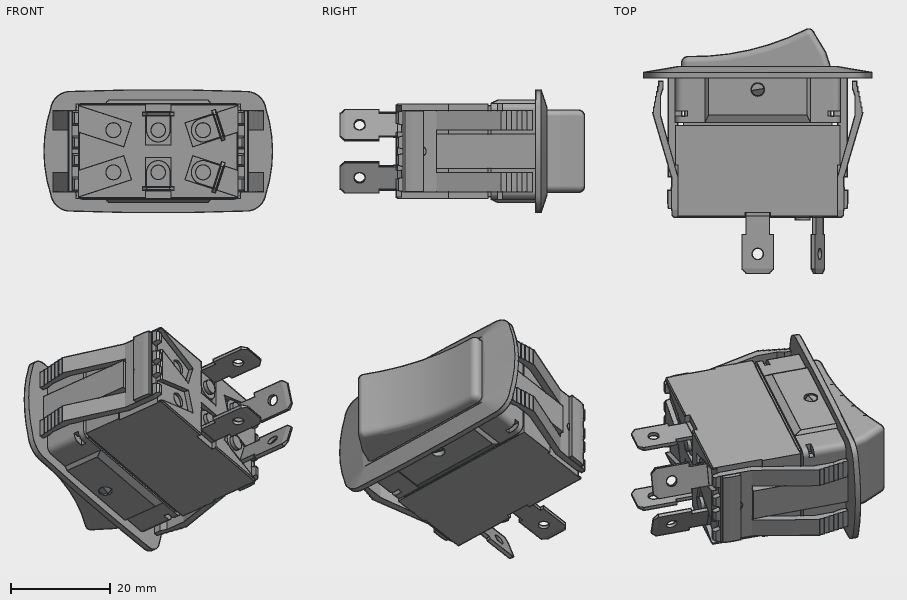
import cadquery as cq

BEZEL_HALF_X = 23.0
BEZEL_HALF_Z = 12.385
BEZEL_RIM = 1.15
BEZEL_DOME = 2.3
DOME_INSET_X = 6.9
DOME_INSET_Z = 3.6
DOME_CORNER_SCALE = 0.2

BEZEL_CORNER_X = 5.4
BEZEL_CORNER_Z = 3.7
BEZEL_BOW_X = 1.4
BEZEL_BOW_Z = 0.35
BEZEL_MID_X = 2.75
BEZEL_MID_Z = 1.3

ROCKER_LOW_END = (-15.35, 4.35)
ROCKER_DISH = (-1.35, 5.7)
ROCKER_TIP = (10.65, 10.25)
ROCKER_KNEE = (13.7, 5.1)
ROCKER_HIGH_END_X = 14.95
ROCKER_HALF_Z = 8.3
ROCKER_LEDGE = 1.45
ROCKER_ROUND = 1.4
ROCKER_RIM_ROUND = 1.3
ROCKER_TIP_ROUND = 1.1

FRONT_HALF_X = 16.6
FRONT_HALF_Z = 9.65
FRONT_ROUND = 1.45
FRONT_END = -8.95
BOSS_HALF_X = 10.6
BOSS_RISE = 0.7
BOSS_END_SLOPE = 1.5
PIVOT_HOLE = 2.7
PIVOT_PIN = 2.5
PIVOT_Y = -2.3
PIVOT_DEPTH = 1.5
PIVOT_TILT = 10.0
PIN_ROOT = 0.5
PIN_HEIGHT = 1.25
PIN_SLOPE_DROP = 1.0
SLOT_INNER_X = 14.1
SLOT_THROUGH_X = (14.65, 15.25)
SLOT_Y = (-7.7, -6.65)

REAR_START = -9.5
REAR_STEP = -17.55
REAR_END = -28.0
REAR_HALF_X = 16.5
REAR_NARROW_X = 16.05
REAR_HALF_Z = 9.5
REAR_CHAMFER = 0.25
CORE_HALF_X = 14.95
CORE_HALF_Z = 9.15

BLOCK_X = 18.0
BLOCK_HALF_Z = 3.45
BLOCK_END = -19.9
CLIP_X = 17.35
CLIP_HALF_Z = 8.15
CLIP_WINDOW_Z = 4.25
CLIP_TIP = (19.95, -0.65)
CLIP_ELBOW = (21.15, -6.9)
CLIP_INNER = ((19.5, -7.65), (19.5, -3.5), (19.0, -2.0), (19.0, CLIP_TIP[1]))
CLIP_FOOT = -19.9
CLIP_END = -26.6
CLIP_STEPS = 6
RIDGE_X = 18.1
RIDGE_START = -22.55
RIDGE_BEND = -25.0
RIDGE_END_X = 17.95
RIDGE_END = -26.25
RIDGE_HALF_Z = 8.08
NUB_RADIUS = 0.95
NUB_Y = -22.9
NUB_RISE = 0.1
TOOTH_X = 17.3
TOOTH_ROOTS = ((0.45, 3.1), (5.2, CLIP_HALF_Z))
TOOTH_TAPER = 0.4
TOOTH_CHAMFER = 0.45

POCKET_WIDTH = 5.05
POCKET_DEPTH = 1.05
POCKET_INNER = 3.0
POCKET_REACH = 9.85
RIVET_X = 9.0
RIVET_Z = 4.25
RIVET_TOP = -28.55
RIVET_CENTRE = 2.9
RIVET_SIDE = 3.0
EMPTY_HOLE_DEPTH = 0.5
BASE_RADIUS = 2.35
BASE_THICK = 0.8
BASE_LIP = 0.1
SIDE_TURN = 72.0
BLADE_OFFSET = 3.25
BLADE_THICK = 0.8
BLADE_ROOT = 1.0
NECK_HALF = 2.35
BLADE_HALF = 3.2
SHOULDER_Y = -31.4
TAPER_Y = -38.35
BLADE_TIP = -39.35
TIP_HALF = 2.25
TIP_THICK = 0.4
BLADE_HOLE = 2.2
BLADE_HOLE_Y = -35.35

POCKET_FLOOR = REAR_END + POCKET_DEPTH


def box(x, y, z):
    """Box between the (low, high) limits on each axis."""
    size = [high - low for low, high in (x, y, z)]
    return cq.Workplane("XY").box(*size, centered=False).translate((x[0], y[0], z[0]))


def centred_box(half_x, y, half_z):
    return box((-half_x, half_x), y, (-half_z, half_z))


def facing_back(y):
    """Sketch plane at the given Y whose extrusions run toward -Y."""
    return cq.Workplane("XZ", origin=(0, y, 0))


def plate(points, z):
    """XY outline extruded between two Z limits."""
    return cq.Workplane("XY").workplane(offset=z[0]).polyline(points).close().extrude(z[1] - z[0])


def both_ends(shape):
    return shape.union(shape.mirror("YZ"))


def both_sides(shape):
    return shape.union(shape.mirror("XY"))


def bezel_outline(sketch, half_x, half_z, corner_scale=1.0):
    """Closed outline of four bowed sides joined by round corners."""
    top_x, top_z = half_x - BEZEL_CORNER_X * corner_scale, half_z - BEZEL_BOW_Z * corner_scale
    side_x, side_z = half_x - BEZEL_BOW_X * corner_scale, half_z - BEZEL_CORNER_Z * corner_scale
    mid_x, mid_z = half_x - BEZEL_MID_X * corner_scale, half_z - BEZEL_MID_Z * corner_scale
    return (
        sketch.moveTo(-top_x, top_z)
        .threePointArc((0, half_z), (top_x, top_z))
        .threePointArc((mid_x, mid_z), (side_x, side_z))
        .threePointArc((half_x, 0), (side_x, -side_z))
        .threePointArc((mid_x, -mid_z), (top_x, -top_z))
        .threePointArc((0, -half_z), (-top_x, -top_z))
        .threePointArc((-mid_x, -mid_z), (-side_x, -side_z))
        .threePointArc((-half_x, 0), (-side_x, side_z))
        .threePointArc((-mid_x, mid_z), (-top_x, top_z))
        .close()
    )


def make_bezel():
    rim = bezel_outline(facing_back(BEZEL_RIM), BEZEL_HALF_X, BEZEL_HALF_Z).extrude(BEZEL_RIM)
    dome = bezel_outline(facing_back(BEZEL_RIM), BEZEL_HALF_X, BEZEL_HALF_Z)
    dome = dome.workplane(offset=BEZEL_RIM - BEZEL_DOME)
    dome = bezel_outline(
        dome, BEZEL_HALF_X - DOME_INSET_X, BEZEL_HALF_Z - DOME_INSET_Z, DOME_CORNER_SCALE
    )
    return rim.union(dome.loft(ruled=True))


def make_rocker():
    """Paddle with a concave top, pressed at -X and raised at +X."""
    low_x, low_y = ROCKER_LOW_END
    paddle = (
        cq.Workplane("XY").workplane(offset=-ROCKER_HALF_Z)
        .moveTo(low_x, BEZEL_RIM)
        .lineTo(low_x, low_y)
        .lineTo(low_x + ROCKER_LEDGE, low_y)
        .threePointArc(ROCKER_DISH, ROCKER_TIP)
        .lineTo(*ROCKER_KNEE)
        .lineTo(ROCKER_HIGH_END_X, BEZEL_RIM)
        .close()
        .extrude(2 * ROCKER_HALF_Z)
    )
    for (x, y), radius in ((ROCKER_LOW_END, ROCKER_ROUND), (ROCKER_TIP, ROCKER_TIP_ROUND)):
        paddle = paddle.edges(cq.selectors.NearestToPointSelector((x, y, 0))).fillet(radius)
    rims = paddle.faces("<Z or >Z").edges().filter(lambda edge: edge.Center().y > BEZEL_RIM + 0.05)
    return paddle.newObject(rims.vals()).fillet(ROCKER_RIM_ROUND)


def make_boss():
    """Raised pad with sloped ends, on the +Z face of the front housing."""
    top_z = FRONT_HALF_Z + BOSS_RISE
    across = (
        facing_back(0)
        .polyline([
            (-BOSS_HALF_X, FRONT_HALF_Z), (BOSS_HALF_X, FRONT_HALF_Z),
            (BOSS_HALF_X - BOSS_RISE, top_z), (BOSS_RISE - BOSS_HALF_X, top_z),
        ])
        .close().extrude(-FRONT_END)
    )
    along = (
        cq.Workplane("YZ").workplane(offset=-BOSS_HALF_X)
        .polyline([
            (0, FRONT_HALF_Z), (FRONT_END, FRONT_HALF_Z),
            (FRONT_END + BOSS_END_SLOPE, top_z), (0, top_z),
        ])
        .close().extrude(2 * BOSS_HALF_X)
    )
    return across.intersect(along)


def make_pivot_pin():
    """Pin at the bottom of the pivot hole, with its rear half cut to a slope."""
    floor_z = FRONT_HALF_Z + BOSS_RISE - PIVOT_DEPTH
    pin = cq.Workplane("XY").workplane(offset=floor_z - PIN_ROOT)
    pin = pin.circle(PIVOT_PIN / 2).extrude(PIN_ROOT + PIN_HEIGHT)
    top_z = floor_z + PIN_HEIGHT
    slope = (
        cq.Workplane("YZ").workplane(offset=-PIVOT_PIN)
        .polyline([(0, top_z), (-PIVOT_PIN, top_z - 2 * PIN_SLOPE_DROP), (-PIVOT_PIN, top_z)])
        .close().extrude(2 * PIVOT_PIN)
        .rotate((0, 0, 0), (0, 0, 1), PIVOT_TILT)
    )
    return pin.cut(slope).translate((0, PIVOT_Y, 0))


def make_front_housing():
    body = centred_box(FRONT_HALF_X, (FRONT_END, BEZEL_RIM), FRONT_HALF_Z).edges("|Y").fillet(FRONT_ROUND)
    body = body.union(both_sides(make_boss()))
    hole = (
        cq.Workplane("XY").workplane(offset=FRONT_HALF_Z + BOSS_RISE - PIVOT_DEPTH)
        .center(0, PIVOT_Y).circle(PIVOT_HOLE / 2).extrude(PIVOT_DEPTH)
    )
    body = body.cut(both_sides(hole)).union(both_sides(make_pivot_pin()))
    through = box(SLOT_THROUGH_X, SLOT_Y, (-FRONT_HALF_Z, FRONT_HALF_Z))
    notch = box((SLOT_INNER_X, FRONT_HALF_X), SLOT_Y, (CLIP_HALF_Z, FRONT_HALF_Z))
    return body.cut(both_ends(through.union(both_sides(notch))))


def make_rear_housing():
    wide = centred_box(REAR_HALF_X, (REAR_STEP, REAR_START), REAR_HALF_Z)
    narrow = centred_box(REAR_NARROW_X, (REAR_END, REAR_STEP), REAR_HALF_Z)
    narrow = narrow.faces("<Y").edges().chamfer(REAR_CHAMFER)
    core = centred_box(CORE_HALF_X, (REAR_START, FRONT_END), CORE_HALF_Z)
    return wide.union(narrow).union(core)


def make_side_block():
    return box((REAR_NARROW_X, BLOCK_X), (BLOCK_END, 0), (-BLOCK_HALF_Z, BLOCK_HALF_Z))


def make_clip():
    """Spring clip at +X: two stepped arms on a common foot, with a ridge across it."""
    (tip_x, tip_y), (elbow_x, elbow_y) = CLIP_TIP, CLIP_ELBOW
    step_x = (elbow_x - tip_x) / CLIP_STEPS
    step_y = (elbow_y - tip_y) / CLIP_STEPS
    outline = [(REAR_NARROW_X, CLIP_END), (REAR_NARROW_X, CLIP_FOOT), *CLIP_INNER]
    for step in range(CLIP_STEPS):
        outline.append((tip_x + step * step_x, tip_y + step * step_y))
        outline.append((tip_x + step * step_x, tip_y + (step + 1) * step_y))
    outline += [CLIP_ELBOW, (CLIP_X, CLIP_FOOT), (CLIP_X, CLIP_END)]
    clip = plate(outline, (-CLIP_HALF_Z, CLIP_HALF_Z))
    clip = clip.cut(box((REAR_NARROW_X, elbow_x), (BLOCK_END, 0), (-CLIP_WINDOW_Z, CLIP_WINDOW_Z)))
    ridge = [
        (REAR_NARROW_X, RIDGE_START), (RIDGE_X, RIDGE_START), (RIDGE_X, RIDGE_BEND),
        (RIDGE_END_X, RIDGE_END), (REAR_NARROW_X, RIDGE_END),
    ]
    clip = clip.union(plate(ridge, (-RIDGE_HALF_Z, RIDGE_HALF_Z)))
    nub = (
        cq.Workplane("YZ").workplane(offset=REAR_NARROW_X)
        .center(NUB_Y, 0).circle(NUB_RADIUS).extrude(CLIP_X + NUB_RISE - REAR_NARROW_X)
    )
    return clip.union(nub)


def make_teeth():
    """Row of latch teeth at +X, behind the clip, narrowing toward the rear."""
    outline = [
        (REAR_NARROW_X, CLIP_END), (TOOTH_X, CLIP_END), (TOOTH_X, REAR_END + TOOTH_CHAMFER),
        (TOOTH_X - TOOTH_CHAMFER, REAR_END), (REAR_NARROW_X, REAR_END),
    ]
    teeth = cq.Workplane("XY")
    for low, high in TOOTH_ROOTS:
        taper = (
            cq.Workplane("YZ").workplane(offset=REAR_NARROW_X)
            .polyline([
                (CLIP_END, low), (CLIP_END, high),
                (REAR_END, high - TOOTH_TAPER), (REAR_END, low + TOOTH_TAPER),
            ])
            .close().extrude(TOOTH_X - REAR_NARROW_X)
        )
        teeth = teeth.union(both_sides(plate(outline, (low, high)).intersect(taper)))
    return teeth


def place(shape, x, angle):
    """Move a terminal feature, made around its rivet with +Z outward, to its place and its -Z twin."""
    return both_sides(shape.rotate((0, 0, 0), (0, 1, 0), angle).translate((x, 0, RIVET_Z)))


def make_pocket():
    half = POCKET_WIDTH / 2
    return box((-half, half), (REAR_END, POCKET_FLOOR), (-POCKET_INNER, POCKET_REACH))


def make_terminal(rivet_diameter):
    """Base with a rounded inner end, a rivet head and a flat blade pointing to -Y."""
    base = facing_back(POCKET_FLOOR).circle(BASE_RADIUS).extrude(BASE_THICK)
    base_end = BLADE_OFFSET + BLADE_THICK / 2 + BASE_LIP
    base = base.union(box((-NECK_HALF, NECK_HALF), (POCKET_FLOOR - BASE_THICK, POCKET_FLOOR), (0, base_end)))
    rivet = facing_back(POCKET_FLOOR).circle(rivet_diameter / 2).extrude(POCKET_FLOOR - RIVET_TOP)
    right = [
        (NECK_HALF, POCKET_FLOOR + BLADE_ROOT), (NECK_HALF, SHOULDER_Y), (BLADE_HALF, SHOULDER_Y),
        (BLADE_HALF, TAPER_Y), (TIP_HALF, BLADE_TIP),
    ]
    left = [(-x, y) for x, y in reversed(right)]
    half_thick = BLADE_THICK / 2
    blade = plate(right + left, (-half_thick, half_thick))
    hole = cq.Workplane("XY").center(0, BLADE_HOLE_Y).circle(BLADE_HOLE / 2).extrude(BLADE_THICK, both=True)
    blade = blade.cut(hole)
    edge_view = (
        cq.Workplane("YZ").workplane(offset=-BLADE_HALF)
        .polyline([
            (POCKET_FLOOR + BLADE_ROOT, half_thick), (TAPER_Y, half_thick), (BLADE_TIP, TIP_THICK / 2),
            (BLADE_TIP, -TIP_THICK / 2), (TAPER_Y, -half_thick), (POCKET_FLOOR + BLADE_ROOT, -half_thick),
        ])
        .close().extrude(2 * BLADE_HALF)
    )
    blade = blade.intersect(edge_view).translate((0, 0, BLADE_OFFSET))
    return base.union(rivet).union(blade)


rear = make_rear_housing()
for x, angle in ((0, 0), (RIVET_X, SIDE_TURN), (-RIVET_X, -SIDE_TURN)):
    rear = rear.cut(place(make_pocket(), x, angle))

empty_hole = facing_back(POCKET_FLOOR).circle(RIVET_SIDE / 2).extrude(-EMPTY_HOLE_DEPTH)
rear = rear.cut(place(empty_hole, -RIVET_X, 0))

ends = make_side_block().union(make_clip()).union(make_teeth())

result = (
    make_bezel()
    .union(make_rocker())
    .union(make_front_housing())
    .union(rear)
    .union(both_ends(ends))
    .union(place(make_terminal(RIVET_CENTRE), 0, 0))
    .union(place(make_terminal(RIVET_SIDE), RIVET_X, SIDE_TURN))
)